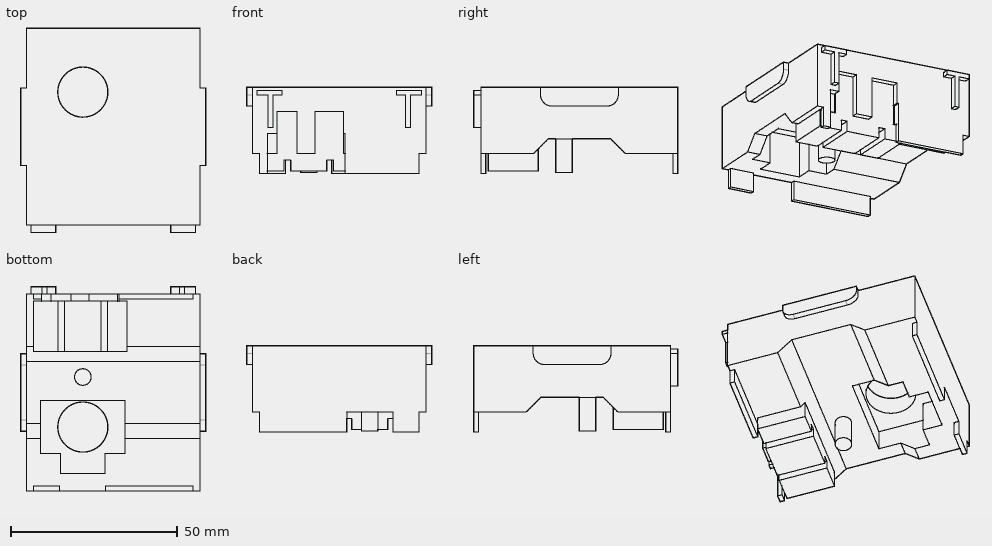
import cadquery as cq

overall_width = 55.7
overall_length = 61.5
total_height = 26.0

body_width = 52.2
body_length = 59.3
body_height = 20.0
front_y = -body_length / 2
back_y = body_length / 2

ear_length = 23.4
ear_height = 5.7
ear_radius = 3.4

channel_depth = 4.45
channel_roof_width = 18.7
channel_mouth_width = channel_roof_width + 2 * channel_depth

skirt_thickness = 1.5
skirt_width = 48.0

hole_x = -9.15
hole_y = 10.4
hole_diameter = 15.0
hole_depth = 7.3
pin_y = -4.65
pin_diameter = 5.0
pin_tip_gap = 0.25

cavity_wide_half_width = 12.7
cavity_wide_half_length = 8.0
cavity_stem_half_width = 6.65
cavity_end = 14.0

recess_depth = 2.2
recess_left = -21.6
recess_right = 1.8
wide_window_top = 13.9
tall_window_left = -18.75
tall_window_right = 1.3
tall_window_top = 7.4
tab_left = -12.75
tab_right = -7.3
side_pocket_depth = 0.5

block_left = -skirt_width / 2
block_overhang = recess_left - block_left
block_right = recess_right + block_overhang
block_length = 15.1
block_bottom = 25.3
groove_top = 22.0
groove_spans = ((-16.6, -14.65), (-3.75, -1.75))

back_gap_left = -16.1
back_gap_right = -2.3

hook_reach = overall_length - body_length
hook_bar_width = 7.5
hook_bar_x = 21.0
hook_bar_top = 0.95
hook_bar_bottom = 2.4
hook_stem_width = 1.5
hook_stem_x = 20.65
hook_stem_bottom = 12.2


def box(x_range, y_range, depth_range):
    """Box between two X values, two Y values and two depths below the top face."""
    x0, x1 = x_range
    y0, y1 = y_range
    top, bottom = depth_range
    return cq.Workplane("XY").box(x1 - x0, y1 - y0, bottom - top, centered=False).translate((x0, y0, -bottom))


def centred(width):
    return (-width / 2, width / 2)


def make_body():
    return box(centred(body_width), centred(body_length), (0, body_height))


def make_ears():
    ears = box(centred(overall_width), centred(ear_length), (0, ear_height))
    return ears.edges("|X and <Z").fillet(ear_radius)


def make_channel():
    return (
        cq.Workplane("YZ")
        .moveTo(-channel_mouth_width / 2, -body_height)
        .lineTo(-channel_roof_width / 2, channel_depth - body_height)
        .lineTo(channel_roof_width / 2, channel_depth - body_height)
        .lineTo(channel_mouth_width / 2, -body_height)
        .close()
        .extrude(body_width / 2, both=True)
    )


def make_hole_and_cavity():
    hole = cq.Workplane("XY").center(hole_x, hole_y).circle(hole_diameter / 2).extrude(-hole_depth)
    depths = (hole_depth, body_height)
    wide_part = box(
        (hole_x - cavity_wide_half_width, hole_x + cavity_wide_half_width),
        (hole_y - cavity_wide_half_length, hole_y + cavity_wide_half_length),
        depths,
    )
    stem = box(
        (hole_x - cavity_stem_half_width, hole_x + cavity_stem_half_width),
        (hole_y, hole_y + cavity_end),
        depths,
    )
    return hole.union(wide_part).union(stem)


def make_recess():
    recess_span = (front_y, front_y + recess_depth)
    pocket_span = (front_y, front_y + recess_depth + side_pocket_depth)
    tall_window = box((tall_window_left, tall_window_right), recess_span, (tall_window_top, body_height))
    tab = box((tab_left, tab_right), recess_span, (tall_window_top, body_height))
    left_pocket = box((recess_left, tall_window_left), pocket_span, (wide_window_top, body_height))
    right_pocket = box((tall_window_right, recess_right), pocket_span, (wide_window_top, body_height))
    return tall_window.cut(tab).union(left_pocket).union(right_pocket)


def make_skirts():
    depths = (body_height, total_height)
    front = box(centred(skirt_width), (front_y, front_y + skirt_thickness), depths)
    front_gap = box((recess_left, recess_right), (front_y, front_y + skirt_thickness), depths)
    back = box(centred(skirt_width), (back_y - skirt_thickness, back_y), depths)
    back_gap = box((back_gap_left, back_gap_right), (back_y - skirt_thickness, back_y), depths)
    return front.cut(front_gap).union(back.cut(back_gap))


def make_terminal_block():
    block_start = front_y + recess_depth
    block_span = (block_start, block_start + block_length)
    block = box((block_left, block_right), block_span, (body_height, block_bottom))
    block_rear = box(
        (block_left, block_right),
        (-channel_mouth_width / 2, block_span[1]),
        (body_height - channel_depth, body_height),
    )
    block = block.union(block_rear)
    for groove_span in groove_spans:
        block = block.cut(box(groove_span, block_span, (groove_top, block_bottom)))
    return block


def make_pin():
    pin_top = body_height - channel_depth
    pin_bottom = total_height - pin_tip_gap
    return (
        cq.Workplane("XY", origin=(hole_x, pin_y, -pin_bottom))
        .circle(pin_diameter / 2)
        .extrude(pin_bottom - pin_top)
    )


def make_hook(side):
    """Hook on the left (side = -1) or right (side = 1) of the front face."""
    span = (front_y - hook_reach, front_y)
    bar_x = side * hook_bar_x
    stem_x = side * hook_stem_x
    bar = box(
        (bar_x - hook_bar_width / 2, bar_x + hook_bar_width / 2),
        span,
        (hook_bar_top, hook_bar_bottom),
    )
    stem = box(
        (stem_x - hook_stem_width / 2, stem_x + hook_stem_width / 2),
        span,
        (hook_bar_bottom, hook_stem_bottom),
    )
    return bar.union(stem)


result = make_body().union(make_ears())
result = result.cut(make_channel()).cut(make_hole_and_cavity()).cut(make_recess())
result = result.union(make_skirts()).union(make_terminal_block()).union(make_pin())
for hook_side in (-1, 1):
    result = result.union(make_hook(hook_side))